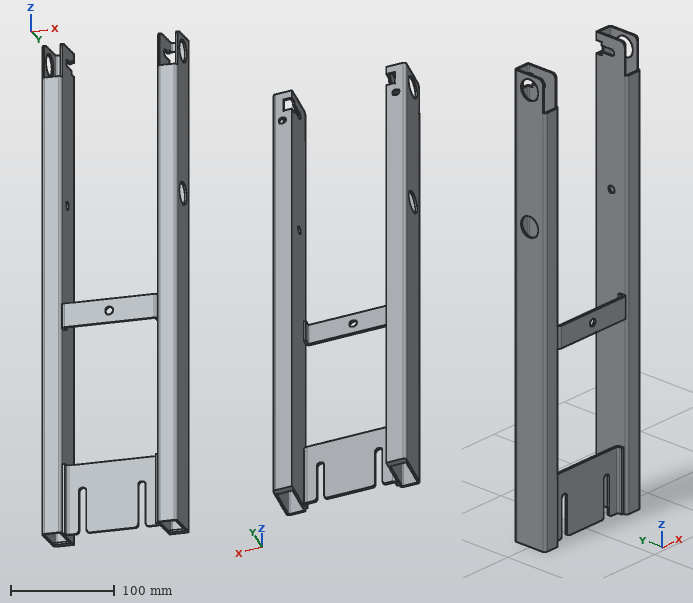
import cadquery as cq

overall_width = 137.0
depth = 40.0
height = 500.0

upright_width = 20.0
upright_sheet = 2.0
upright_bend = 3.0
open_top_z = 465.0
top_corner_radius = 5.0
lip_depth = 6.5

access_diameter = 22.5
hole_diameter = 8.0
fixing_y = depth / 2
hook_z = 484.0
fixing_z = 339.0

hook_slot_height = 7.0
hook_notch_height = 14.0
hook_notch_width = 9.0
hook_notch_depth = 7.0

back_hole_diameter = 7.5

strip_sheet = 2.5
bar_bend = 3.0
bar_bottom = 208.5
bar_height = 24.0
bar_depth = 9.0
plate_bend = 4.5
plate_height = 70.5
plate_front = 4.0
plate_back = 12.0

slot_width = 7.5
slot_height = 46.5
slot_x = 30.0
slot_mouth_radius = 3.5

outer_x = overall_width / 2
inner_x = outer_x - upright_width


def block(x_range, y_range, z_range):
    """Box filling the given ranges."""
    size = [high - low for low, high in (x_range, y_range, z_range)]
    corner = (x_range[0], y_range[0], z_range[0])
    return cq.Workplane("XY").box(*size, centered=False).translate(corner)


def x_cylinder(diameter, x_range, y, z):
    """Cylinder along X."""
    start, end = x_range
    return cq.Workplane("YZ", origin=(start, y, z)).circle(diameter / 2).extrude(end - start)


def y_cylinder(diameter, y_range, x, z):
    """Cylinder along Y."""
    start, end = y_range
    return cq.Workplane("XZ", origin=(x, start, z)).circle(diameter / 2).extrude(start - end)


def make_tube():
    """Folded tube of the +X upright, with a small lip folded in from the back wall at its foot."""
    inner_bend = upright_bend - upright_sheet
    tube = block((inner_x, outer_x), (0, depth), (0, height))
    tube = tube.edges("|Z and (<Y or >X)").fillet(upright_bend)
    hollow_x = (inner_x + upright_sheet, outer_x - upright_sheet)
    hollow = block(hollow_x, (upright_sheet, depth - upright_sheet), (0, height))
    lip = block(hollow_x, (depth - lip_depth, depth - upright_sheet), (0, upright_sheet))
    hollow = hollow.edges("|Z").fillet(inner_bend).cut(lip)
    return tube.cut(hollow)


def open_top():
    """Cutter that removes the front wall at the top and rounds the side walls' top corners."""
    walls_x = (inner_x, outer_x)
    opening = block(walls_x, (0, upright_bend), (open_top_z, height))
    arc_y = upright_bend + top_corner_radius
    arc_z = height - top_corner_radius
    corner = block(walls_x, (upright_bend, arc_y), (arc_z, height))
    return opening.union(corner.cut(x_cylinder(2 * top_corner_radius, walls_x, arc_y, arc_z)))


def hook_opening():
    """Cutter for the slot in the inner wall and its wider notch through the back corner."""
    wall_x = (inner_x, inner_x + upright_sheet)
    slot_z = (hook_z - hook_slot_height / 2, hook_z + hook_slot_height / 2)
    notch_z = (hook_z - hook_notch_height / 2, hook_z + hook_notch_height / 2)
    opening = block(wall_x, (fixing_y, depth), slot_z)
    opening = opening.union(x_cylinder(hook_slot_height, wall_x, fixing_y, hook_z))
    notch = block((inner_x, inner_x + hook_notch_width), (depth - hook_notch_depth, depth), notch_z)
    return opening.union(notch)


def make_upright():
    """The +X upright; its inner wall faces -X."""
    upright = make_tube().cut(open_top()).cut(hook_opening())
    outer_wall_x = (outer_x - upright_sheet, outer_x)
    for z in (hook_z, fixing_z):
        upright = upright.cut(x_cylinder(access_diameter, outer_wall_x, fixing_y, z))
    inner_wall_x = (inner_x, inner_x + upright_sheet)
    upright = upright.cut(x_cylinder(hole_diameter, inner_wall_x, fixing_y, fixing_z))
    back_wall_y = (depth - upright_sheet, depth)
    middle_x = (inner_x + outer_x) / 2
    return upright.cut(y_cylinder(back_hole_diameter, back_wall_y, middle_x, open_top_z))


def bent_strip(web_y, flange_y, z_range, bend):
    """Strip between the uprights: a web with its outer face at web_y and flanges ending at flange_y."""
    inward = 1 if flange_y > web_y else -1
    web_side = "<Y" if inward > 0 else ">Y"
    y_range = sorted((web_y, flange_y))
    hollow_y = sorted((web_y + inward * strip_sheet, flange_y))
    hollow_half = inner_x - strip_sheet
    strip = block((-inner_x, inner_x), y_range, z_range)
    strip = strip.edges("|Z").edges(web_side).fillet(bend)
    hollow = block((-hollow_half, hollow_half), hollow_y, z_range)
    hollow = hollow.edges("|Z").edges(web_side).fillet(bend - strip_sheet)
    return strip.cut(hollow)


def make_bar():
    """Cross bar with a central hole, flush with the front of the uprights."""
    bar = bent_strip(0, bar_depth, (bar_bottom, bar_bottom + bar_height), bar_bend)
    return bar.cut(y_cylinder(hole_diameter, (0, strip_sheet), 0, bar_bottom + bar_height / 2))


def plate_slot(x):
    """Cutter for one round-topped slot with a rounded, flared mouth."""
    web = (plate_back - strip_sheet, plate_back)
    half = slot_width / 2
    top_arc_z = slot_height - half
    mouth_half = half + slot_mouth_radius
    slot = block((x - half, x + half), web, (0, top_arc_z))
    slot = slot.union(y_cylinder(slot_width, web, x, top_arc_z))
    mouth = block((x - mouth_half, x + mouth_half), web, (0, slot_mouth_radius))
    for arc_x in (x - mouth_half, x + mouth_half):
        mouth = mouth.cut(y_cylinder(2 * slot_mouth_radius, web, arc_x, slot_mouth_radius))
    return slot.union(mouth)


def make_plate():
    """Foot plate, set back from the front with its flanges folded forward."""
    plate = bent_strip(plate_back, plate_front, (0, plate_height), plate_bend)
    for x in (-slot_x, slot_x):
        plate = plate.cut(plate_slot(x))
    return plate


upright = make_upright()
result = upright.union(upright.mirror("YZ")).union(make_bar()).union(make_plate())